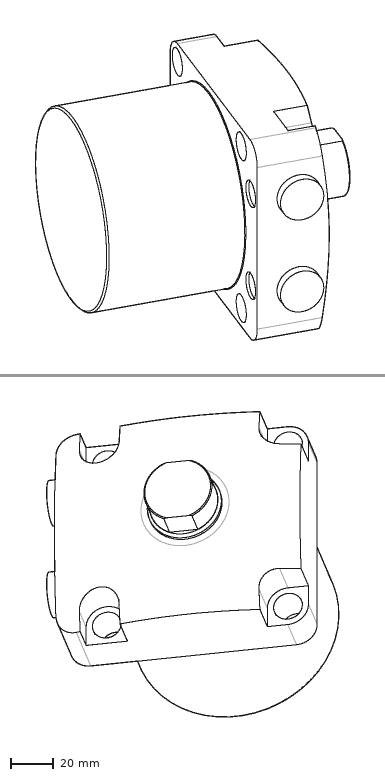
import cadquery as cq
import math


FLANGE_HEIGHT = 108.0
FLANGE_LEFT = -FLANGE_HEIGHT / 2
FLANGE_LENGTH = 120.0
FLANGE_RIGHT = FLANGE_LEFT + FLANGE_LENGTH
CORNER_RADIUS = 10.0

ROOF_TOP_Y = 48.5
ROOF_TOP_RADIUS = 21.4
ROOF_ANGLE = 15.0
ROOF_REACH = math.hypot(FLANGE_RIGHT, FLANGE_HEIGHT / 2)

BOLT_OFFSET = 44.0
BOLT_HOLE_DIAMETER = 14.0
POCKET_RADIUS = 10.0
POCKET_FLOOR_Y = 20.0
POCKET_REACH = 2 * POCKET_RADIUS

PORT_SPACING = 50.0
PORT_OFFSET_Z = PORT_SPACING / 2
RECESS_X = 57.0
RECESS_DIAMETER = 13.3
RECESS_DEPTH = 1.5
PLUG_DIAMETER = 22.0
PLUG_LENGTH = 4.7
PLUG_Y = 21.0

SPIGOT_DIAMETER = 100.0
SPIGOT_LENGTH = 70.0
SPIGOT_CHAMFER = 1.0
SPIGOT_ROOT_CHAMFER = 0.4

COLLAR_DIAMETER = 36.0
COLLAR_LENGTH = 3.0
COLLAR_CHAMFER = 1.4
COLLAR_TOP_Y = ROOF_TOP_Y + COLLAR_LENGTH

TOTAL_LENGTH = 135.5
ROD_END_Y = TOTAL_LENGTH - SPIGOT_LENGTH
ROD_DIAMETER = 33.0
ROD_ACROSS_FLATS = 30.1
ROD_CHAMFER = 0.5


def cylinder_y(diameter, y_start, y_end, x=0.0, z=0.0):
    """Round bar parallel to Y."""
    return cq.Workplane(
        cq.Solid.makeCylinder(
            diameter / 2, y_end - y_start, cq.Vector(x, y_start, z), cq.Vector(0, 1, 0)
        )
    )


def box_between(x_range, y_range, z_range):
    """Box given by its limits along each axis."""
    (x0, x1), (y0, y1), (z0, z1) = x_range, y_range, z_range
    return cq.Workplane("XY").box(x1 - x0, y1 - y0, z1 - z0, centered=False).translate((x0, y0, z0))


def make_flange_block():
    """Rounded rectangular block whose back is cut to a shallow cone."""
    half_height = FLANGE_HEIGHT / 2
    block = box_between(
        (FLANGE_LEFT, FLANGE_RIGHT), (0, ROOF_TOP_Y), (-half_height, half_height)
    ).edges("|Y").fillet(CORNER_RADIUS)

    roof_drop = (ROOF_REACH - ROOF_TOP_RADIUS) * math.tan(math.radians(ROOF_ANGLE))
    roof_envelope = (
        cq.Workplane("XY")
        .moveTo(0, 0)
        .lineTo(ROOF_REACH, 0)
        .lineTo(ROOF_REACH, ROOF_TOP_Y - roof_drop)
        .lineTo(ROOF_TOP_RADIUS, ROOF_TOP_Y)
        .lineTo(0, ROOF_TOP_Y)
        .close()
        .revolve(360, (0, 0, 0), (0, 1, 0))
    )
    return block.intersect(roof_envelope)


def make_spigot():
    """Cylinder below the mounting face, chamfered at its end and flared at its root."""
    spigot = cylinder_y(SPIGOT_DIAMETER, -SPIGOT_LENGTH, 0).faces("<Y").chamfer(SPIGOT_CHAMFER)
    root_radius = SPIGOT_DIAMETER / 2
    root_flare = cq.Workplane(
        cq.Solid.makeCone(
            root_radius,
            root_radius + SPIGOT_ROOT_CHAMFER,
            SPIGOT_ROOT_CHAMFER,
            cq.Vector(0, -SPIGOT_ROOT_CHAMFER, 0),
            cq.Vector(0, 1, 0),
        )
    )
    return spigot.union(root_flare)


def make_collar():
    """Short chamfered boss on top of the roof."""
    return cylinder_y(COLLAR_DIAMETER, 0, COLLAR_TOP_Y).faces(">Y").chamfer(COLLAR_CHAMFER)


def make_pocket(side_x, side_z):
    """Bolt head pocket open to the Z side, and on the -X side also open to the left."""
    x = side_x * BOLT_OFFSET
    z = side_z * BOLT_OFFSET
    depth_range = (POCKET_FLOOR_Y, ROOF_TOP_Y)
    z_range = sorted((z, z + side_z * POCKET_REACH))
    x_range = (x - POCKET_RADIUS, x + POCKET_RADIUS)
    pocket = cylinder_y(2 * POCKET_RADIUS, *depth_range, x, z)
    pocket = pocket.union(box_between(x_range, depth_range, z_range))
    if side_x < 0:
        corner_z_range = sorted((z - side_z * POCKET_RADIUS, z + side_z * POCKET_REACH))
        pocket = pocket.union(box_between((x - POCKET_REACH, x), depth_range, corner_z_range))
    return pocket


def make_housing():
    """Flange block with pockets, bolt holes and seal recesses, plus spigot and collar."""
    housing = make_flange_block()
    for side_x in (-1, 1):
        for side_z in (-1, 1):
            housing = housing.cut(make_pocket(side_x, side_z))
            housing = housing.cut(
                cylinder_y(
                    BOLT_HOLE_DIAMETER, 0, ROOF_TOP_Y, side_x * BOLT_OFFSET, side_z * BOLT_OFFSET
                )
            )
    for side_z in (-1, 1):
        housing = housing.cut(
            cylinder_y(RECESS_DIAMETER, 0, RECESS_DEPTH, RECESS_X, side_z * PORT_OFFSET_Z)
        )
    return housing.union(make_spigot()).union(make_collar())


def make_rod():
    """Rod end with two wrench flats facing +Z and -Z."""
    rod = cylinder_y(ROD_DIAMETER, COLLAR_TOP_Y, ROD_END_Y).faces(">Y").chamfer(ROD_CHAMFER)
    half_width = ROD_DIAMETER / 2
    half_flats = ROD_ACROSS_FLATS / 2
    flats = box_between(
        (-half_width, half_width), (COLLAR_TOP_Y, ROD_END_Y), (-half_flats, half_flats)
    )
    return rod.intersect(flats)


def make_port_plug(z):
    """Round plug standing on the +X side of the flange block."""
    return cq.Workplane(
        cq.Solid.makeCylinder(
            PLUG_DIAMETER / 2, PLUG_LENGTH, cq.Vector(FLANGE_RIGHT, PLUG_Y, z), cq.Vector(1, 0, 0)
        )
    )


housing = make_housing()
rod = make_rod()
port_plugs = [make_port_plug(side_z * PORT_OFFSET_Z) for side_z in (-1, 1)]

result = cq.Compound.makeCompound(
    [housing.val(), rod.val(), *[plug.val() for plug in port_plugs]]
)